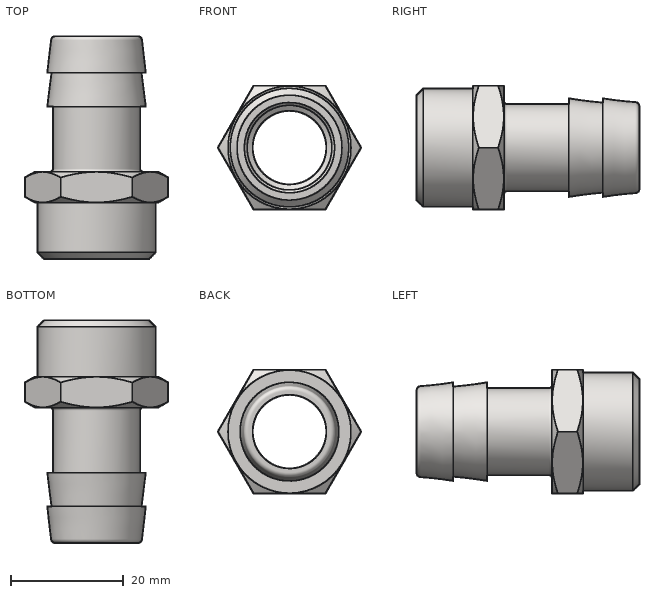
import cadquery as cq
import math


total_length = 39.5
spigot_length = 10.0
hex_thickness = 5.5
barb_start = 27.0
barb_pitch = 6.0

spigot_radius = 10.5
shank_radius = 7.75
barb_crest_radius = 8.75
barb_root_radius = 8.0
hex_across_flats = 22.0
hex_face_radius = 10.9

spigot_bore_radius = 7.5
tail_bore_radius = 6.5
bore_cone_angle = 60.0

spigot_chamfer = 1.2
mouth_chamfer = 0.5
hex_chamfer_angle = 30.0
shank_fillet = 0.5
tail_fillet = 0.8

hex_end = spigot_length + hex_thickness
spigot_bore_depth = spigot_length + hex_thickness / 2
second_barb_start = barb_start + barb_pitch
hex_corner_radius = hex_across_flats / math.sqrt(3)


def revolve_about_y(profile):
    """Revolve a closed XY profile a full turn about the Y axis."""
    return profile.close().revolve(360, (0, 0, 0), (0, 1, 0))


def make_spigot():
    """Plain male spigot with a chamfered mouth edge."""
    profile = (
        cq.Workplane("XY")
        .lineTo(spigot_radius - spigot_chamfer, 0)
        .lineTo(spigot_radius, spigot_chamfer)
        .lineTo(spigot_radius, spigot_length)
        .lineTo(0, spigot_length)
    )
    return revolve_about_y(profile)


def make_hexagon():
    """Hexagonal collar with its corners turned down conically on both faces."""
    prism = (
        cq.Workplane("XZ", origin=(0, spigot_length, 0))
        .polygon(6, 2 * hex_corner_radius)
        .extrude(-hex_thickness)
    )
    slope = math.tan(math.radians(hex_chamfer_angle))
    corner_drop = (hex_corner_radius - hex_face_radius) * slope
    envelope = (
        cq.Workplane("XY")
        .moveTo(0, spigot_length)
        .lineTo(hex_face_radius, spigot_length)
        .lineTo(hex_corner_radius, spigot_length + corner_drop)
        .lineTo(hex_corner_radius, hex_end - corner_drop)
        .lineTo(hex_face_radius, hex_end)
        .lineTo(0, hex_end)
    )
    return prism.intersect(revolve_about_y(envelope))


def make_shank():
    """Round shank from the hexagon to the barbs, with a fillet at its foot."""
    fillet_centre = (shank_radius + shank_fillet, hex_end + shank_fillet)
    arc_offset = shank_fillet * math.sqrt(0.5)
    arc_middle = (fillet_centre[0] - arc_offset, fillet_centre[1] - arc_offset)
    profile = (
        cq.Workplane("XY")
        .moveTo(0, hex_end)
        .lineTo(fillet_centre[0], hex_end)
        .threePointArc(arc_middle, (shank_radius, fillet_centre[1]))
        .lineTo(shank_radius, barb_start)
        .lineTo(0, barb_start)
    )
    return revolve_about_y(profile)


def make_barb(start, end):
    """One barb: a cone narrowing from its crest towards the tail end."""
    profile = (
        cq.Workplane("XY")
        .moveTo(0, start)
        .lineTo(barb_crest_radius, start)
        .lineTo(barb_root_radius, end)
        .lineTo(0, end)
    )
    return revolve_about_y(profile)


def make_bore():
    """Through bore: wide in the spigot, coned down to the tail, chamfered at the mouth."""
    cone_length = (spigot_bore_radius - tail_bore_radius) / math.tan(math.radians(bore_cone_angle))
    profile = (
        cq.Workplane("XY")
        .lineTo(spigot_bore_radius + mouth_chamfer, 0)
        .lineTo(spigot_bore_radius, mouth_chamfer)
        .lineTo(spigot_bore_radius, spigot_bore_depth)
        .lineTo(tail_bore_radius, spigot_bore_depth + cone_length)
        .lineTo(tail_bore_radius, total_length)
        .lineTo(0, total_length)
    )
    return revolve_about_y(profile)


first_barb = make_barb(barb_start, second_barb_start)
end_barb = make_barb(second_barb_start, total_length).faces(">Y").edges().fillet(tail_fillet)

body = make_spigot().union(make_hexagon()).union(make_shank()).union(first_barb).union(end_barb)
result = body.cut(make_bore())